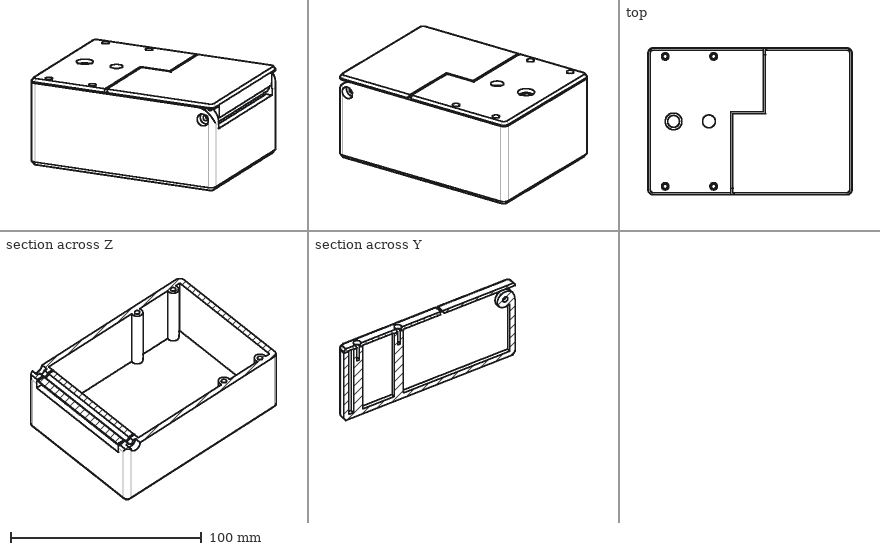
import cadquery as cq

LENGTH = 107.0
WIDTH = 77.0
HEIGHT = 47.6
CORNER_RADIUS = 3.0
TOP_BEVEL_HEIGHT = 1.6
TOP_BEVEL_WIDTH = 1.2
BOTTOM_BEVEL_HEIGHT = 2.0
BOTTOM_BEVEL_WIDTH = 1.5

LID_THICKNESS = 2.4
WALL = 3.5
RIM_Z = HEIGHT - LID_THICKNESS
INNER_LENGTH = LENGTH - 2 * WALL
INNER_WIDTH = WIDTH - 2 * WALL

SEAM_GAP = 1.1
SEAM_NEAR_X = -10.1
SEAM_FAR_X = 7.0
SEAM_STEP_Y = 5.1
SEAM_UNDERCUT = 1.4

SCREW_X = (-44.4, -19.0)
SCREW_Y = 34.0
SCREW_HEAD_DIAMETER = 3.9
SCREW_CLEARANCE = 3.0
SCREW_PILOT = 2.5
SCREW_PILOT_DEPTH = 8.6
BOSS_DIAMETER = 6.2

COUNTERSINK_LAND = 0.7

SWITCH_X = -40.0
SWITCH_DIAMETER = 6.2
SWITCH_RIM_DIAMETER = 8.8
LAMP_X = -21.5
LAMP_DIAMETER = 6.7

HINGE_X = 47.3
HINGE_Z = 38.7
HINGE_END_RADIUS = 9.0
HINGE_BORE = 3.0
HINGE_HEAD_DIAMETER = 6.4
HINGE_HEAD_DEPTH = 3.7
HINGE_KNUCKLE_DIAMETER = 10.3
HINGE_PAD_THICKNESS = 3.0
HINGE_OPENING = INNER_WIDTH - 2 * HINGE_PAD_THICKNESS
HINGE_CLEARANCE = 0.5


def rod_along_y(x, z, diameter, y_start, y_end):
    """Cylinder parallel to Y between two Y positions."""
    base = cq.Workplane("XZ", origin=(x, y_start, z))
    return base.circle(diameter / 2).extrude(y_start - y_end)


def block(x_start, x_end, width, z_start, z_end):
    """Rectangular block centred on Y."""
    size = (x_end - x_start, width, z_end - z_start)
    return cq.Workplane("XY", origin=(x_start, 0, z_start)).box(*size, centered=(False, True, False))


def rounded_block(z_start, z_end):
    """Full-size block with its four upright edges rounded."""
    return block(-LENGTH / 2, LENGTH / 2, WIDTH, z_start, z_end).edges("|Z").fillet(CORNER_RADIUS)


def bevelled(body, face, height, width):
    """Body with the whole outline of one flat face bevelled, taller than it is wide."""
    base = body.faces(face)
    solid = body.val()
    return cq.Workplane(solid.chamfer(height, width, base.edges().vals()))


def screw_points():
    return [(x, side * SCREW_Y) for x in SCREW_X for side in (-1, 1)]


def make_box():
    """Open box with screw bosses and a rounded hinge end."""
    box = bevelled(rounded_block(0, RIM_Z), "<Z", BOTTOM_BEVEL_HEIGHT, BOTTOM_BEVEL_WIDTH)
    box = box.cut(block(-INNER_LENGTH / 2, INNER_LENGTH / 2, INNER_WIDTH, WALL, RIM_Z))

    bosses = cq.Workplane("XY", origin=(0, 0, WALL)).pushPoints(screw_points())
    box = box.union(bosses.circle(BOSS_DIAMETER / 2).extrude(RIM_Z - WALL))
    pilots = cq.Workplane("XY", origin=(0, 0, RIM_Z)).pushPoints(screw_points())
    box = box.cut(pilots.circle(SCREW_PILOT / 2).extrude(-SCREW_PILOT_DEPTH))
    return cut_hinge_end(box)


def cut_hinge_end(box):
    """Round the hinge end, open it for the lid hinge bar, and bore the two hinge pads."""
    end_x = LENGTH / 2 - HINGE_END_RADIUS
    end_z = RIM_Z - HINGE_END_RADIUS
    barrel = rod_along_y(end_x, end_z, 2 * HINGE_END_RADIUS, -WIDTH / 2, WIDTH / 2)
    box = box.cut(block(end_x, LENGTH / 2, WIDTH, end_z, RIM_Z).cut(barrel))
    opening_z = HINGE_Z - HINGE_KNUCKLE_DIAMETER / 2 - HINGE_CLEARANCE
    box = box.cut(block(INNER_LENGTH / 2, LENGTH / 2, HINGE_OPENING, opening_z, RIM_Z))

    for side in (-1, 1):
        outer_y = side * WIDTH / 2
        wall_y = side * INNER_WIDTH / 2
        pad_y = side * HINGE_OPENING / 2
        head_y = outer_y - side * HINGE_HEAD_DEPTH
        box = box.union(rod_along_y(HINGE_X, HINGE_Z, HINGE_KNUCKLE_DIAMETER, wall_y, pad_y))
        box = box.cut(rod_along_y(HINGE_X, HINGE_Z, HINGE_BORE, outer_y, pad_y))
        box = box.cut(rod_along_y(HINGE_X, HINGE_Z, HINGE_HEAD_DIAMETER, outer_y, head_y))
    return box


def lid_plate():
    """Plate that covers the whole box, before it is split by the seam."""
    return bevelled(rounded_block(RIM_Z, HEIGHT), ">Z", TOP_BEVEL_HEIGHT, TOP_BEVEL_WIDTH)


def make_fixed_lid():
    """Screwed-down lid with the switch and lamp openings."""
    outline = [
        (-LENGTH / 2, -WIDTH / 2),
        (SEAM_NEAR_X, -WIDTH / 2),
        (SEAM_NEAR_X, SEAM_STEP_Y),
        (SEAM_FAR_X, SEAM_STEP_Y),
        (SEAM_FAR_X, WIDTH / 2),
        (-LENGTH / 2, WIDTH / 2),
    ]
    footprint = cq.Workplane("XY", origin=(0, 0, RIM_Z)).polyline(outline).close()
    lid = lid_plate().intersect(footprint.extrude(LID_THICKNESS))
    for x, y in screw_points():
        lid = lid.cut(countersink(x, y, SCREW_HEAD_DIAMETER, SCREW_CLEARANCE))
    lid = lid.cut(countersink(SWITCH_X, 0, SWITCH_RIM_DIAMETER, SWITCH_DIAMETER))
    lamp = cq.Workplane("XY", origin=(LAMP_X, 0, RIM_Z)).circle(LAMP_DIAMETER / 2)
    return lid.cut(lamp.extrude(LID_THICKNESS))


def countersink(x, y, rim_diameter, bore_diameter):
    """Hole through the lid: a cone from the top face, ending in a straight land."""
    rim = rim_diameter / 2
    bore = bore_diameter / 2
    land_z = RIM_Z + COUNTERSINK_LAND
    profile = [(0, RIM_Z), (bore, RIM_Z), (bore, land_z), (rim, HEIGHT), (0, HEIGHT)]
    return cq.Workplane("XZ").polyline(profile).close().revolve(360, (0, 0), (0, 1)).translate((x, y, 0))


def hinged_strip(free_x, y_start, y_end):
    """Strip of the hinged lid whose free end starts at free_x on top and leans back underneath."""
    profile = [
        (free_x, HEIGHT),
        (free_x + SEAM_UNDERCUT, RIM_Z),
        (LENGTH / 2, RIM_Z),
        (LENGTH / 2, HEIGHT),
    ]
    return cq.Workplane("XZ", origin=(0, y_start, 0)).polyline(profile).close().extrude(y_start - y_end)


def make_hinged_lid():
    """Swinging lid with a bored hinge bar that closes the opening at the hinge end."""
    step_y = SEAM_STEP_Y - SEAM_GAP
    near_strip = hinged_strip(SEAM_NEAR_X + SEAM_GAP, -WIDTH / 2, step_y)
    far_strip = hinged_strip(SEAM_FAR_X + SEAM_GAP, step_y, WIDTH / 2)
    plate = lid_plate().intersect(near_strip.union(far_strip))

    return plate.union(hinge_bar())


def hinge_bar():
    """Bar under the hinged lid: a square outer corner around a bored knuckle, between the box pads."""
    length = HINGE_OPENING - 2 * HINGE_CLEARANCE
    ends = (-length / 2, length / 2)
    inner_x = HINGE_X - HINGE_KNUCKLE_DIAMETER / 2
    bar = block(inner_x, LENGTH / 2, length, HINGE_Z, RIM_Z)
    bar = bar.union(rod_along_y(HINGE_X, HINGE_Z, HINGE_KNUCKLE_DIAMETER, *ends))
    return bar.cut(rod_along_y(HINGE_X, HINGE_Z, HINGE_BORE, *ends))


box = make_box()
fixed_lid = make_fixed_lid()
hinged_lid = make_hinged_lid()

result = cq.Compound.makeCompound([box.val(), fixed_lid.val(), hinged_lid.val()])